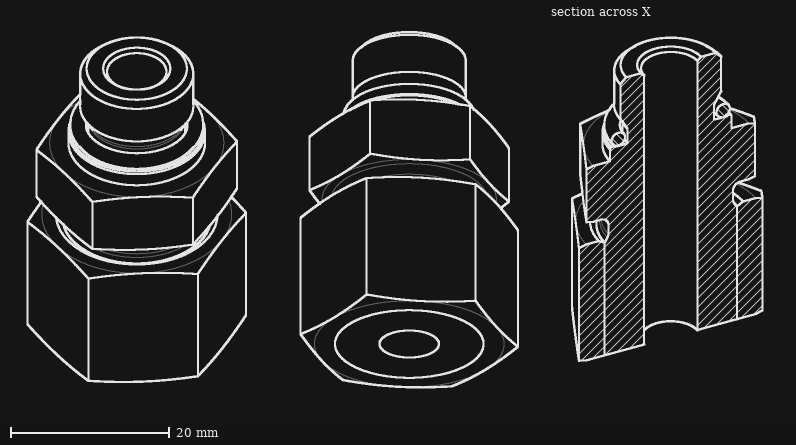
import cadquery as cq
import math


TOTAL_HEIGHT = 41.0
NUT_HEIGHT = 17.5
HEX_BOTTOM = 20.55
HEX_TOP = 29.03
COLLAR_TOP = 31.1
STUD_THREAD_BOTTOM = 34.95

BORE_DIAMETER = 7.5
STUD_NECK_DIAMETER = 12.25
STUD_THREAD_DIAMETER = 14.3
COLLAR_DIAMETER = 17.25
SEAT_DIAMETER = 15.9
SHANK_NECK_DIAMETER = 17.7
SHANK_THREAD_DIAMETER = 18.78
NUT_COUNTERSINK_DIAMETER = 20.4

BODY_ACROSS_FLATS = 22.0
NUT_ACROSS_FLATS = 24.0
HEX_TURN = 7.5
HEX_CHAMFER_ANGLE = 15.0

RUNOUT_ANGLE = 30.0
RELIEF_RADIUS = 1.0
SHANK_RUNOUT_TOP = 18.15
STUD_CHAMFER = 0.8
BORE_CHAMFER = 0.5
COLLAR_CHAMFER_WIDTH = 0.15
COLLAR_CHAMFER_HEIGHT = 0.3
COUNTERSINK_ANGLE = 30.0

O_RING_OUTER_DIAMETER = 16.8
O_RING_SECTION = 1.95
O_RING_HEIGHT = 32.0
SEAT_FLOOR = O_RING_HEIGHT - O_RING_SECTION / 2


def revolve_profile(profile):
    """Turn a closed (radius, height) profile around the Z axis."""
    return profile.close().revolve(360, (0, 0, 0), (0, 1, 0))


def chamfered_hexagon(across_flats, bottom, top):
    """Hexagonal prism whose corners are turned off by a shallow cone at both ends."""
    corner_radius = across_flats / math.sqrt(3)
    face_radius = across_flats / 2
    drop = (corner_radius - face_radius) * math.tan(math.radians(HEX_CHAMFER_ANGLE))
    prism = (
        cq.Workplane("XY", origin=(0, 0, bottom))
        .polygon(6, 2 * corner_radius)
        .extrude(top - bottom)
        .rotate((0, 0, 0), (0, 0, 1), 90 + HEX_TURN)
    )
    turned_blank = revolve_profile(
        cq.Workplane("XZ")
        .moveTo(0, bottom)
        .lineTo(face_radius, bottom)
        .lineTo(corner_radius, bottom + drop)
        .lineTo(corner_radius, top - drop)
        .lineTo(face_radius, top)
        .lineTo(0, top)
    )
    return prism.intersect(turned_blank)


def relief_point(neck_radius, neck_end, direction, angle):
    """Point on a relief fillet after it has turned by `angle` degrees away from the neck."""
    turn = math.radians(angle)
    return (
        neck_radius + RELIEF_RADIUS * (1 - math.cos(turn)),
        neck_end + direction * RELIEF_RADIUS * math.sin(turn),
    )


def make_stud():
    """Collar with O-ring seat, undercut neck and threaded stud above the hexagon."""
    thread_radius = STUD_THREAD_DIAMETER / 2
    neck_radius = STUD_NECK_DIAMETER / 2
    collar_radius = COLLAR_DIAMETER / 2
    cone_end_radius = relief_point(neck_radius, 0, 1, RUNOUT_ANGLE)[0]
    cone_height = (thread_radius - cone_end_radius) / math.tan(math.radians(RUNOUT_ANGLE))
    neck_top = STUD_THREAD_BOTTOM - cone_height - RELIEF_RADIUS * math.sin(math.radians(RUNOUT_ANGLE))
    return revolve_profile(
        cq.Workplane("XZ")
        .moveTo(0, HEX_TOP)
        .lineTo(collar_radius, HEX_TOP)
        .lineTo(collar_radius, COLLAR_TOP - COLLAR_CHAMFER_HEIGHT)
        .lineTo(collar_radius - COLLAR_CHAMFER_WIDTH, COLLAR_TOP)
        .lineTo(SEAT_DIAMETER / 2, COLLAR_TOP)
        .lineTo(SEAT_DIAMETER / 2, SEAT_FLOOR)
        .lineTo(neck_radius, SEAT_FLOOR)
        .lineTo(neck_radius, neck_top)
        .threePointArc(
            relief_point(neck_radius, neck_top, 1, RUNOUT_ANGLE / 2),
            relief_point(neck_radius, neck_top, 1, RUNOUT_ANGLE),
        )
        .lineTo(thread_radius, STUD_THREAD_BOTTOM)
        .lineTo(thread_radius, TOTAL_HEIGHT - STUD_CHAMFER)
        .lineTo(thread_radius - STUD_CHAMFER, TOTAL_HEIGHT)
        .lineTo(0, TOTAL_HEIGHT)
    )


def make_shank():
    """Threaded shank with an undercut neck, from the nut's lower face up to the hexagon."""
    thread_radius = SHANK_THREAD_DIAMETER / 2
    neck_radius = SHANK_NECK_DIAMETER / 2
    neck_top = HEX_BOTTOM - RELIEF_RADIUS
    cone_start = relief_point(neck_radius, SHANK_RUNOUT_TOP, -1, RUNOUT_ANGLE)
    cone_height = (thread_radius - cone_start[0]) / math.tan(math.radians(RUNOUT_ANGLE))
    return revolve_profile(
        cq.Workplane("XZ")
        .moveTo(0, 0)
        .lineTo(thread_radius, 0)
        .lineTo(thread_radius, cone_start[1] - cone_height)
        .lineTo(*cone_start)
        .threePointArc(
            relief_point(neck_radius, SHANK_RUNOUT_TOP, -1, RUNOUT_ANGLE / 2),
            (neck_radius, SHANK_RUNOUT_TOP),
        )
        .lineTo(neck_radius, neck_top)
        .threePointArc(
            relief_point(neck_radius, neck_top, 1, 45),
            relief_point(neck_radius, neck_top, 1, 90),
        )
        .lineTo(0, HEX_BOTTOM)
    )


def make_bore():
    """Through bore with a countersink at the stud end."""
    radius = BORE_DIAMETER / 2
    return revolve_profile(
        cq.Workplane("XZ")
        .moveTo(0, 0)
        .lineTo(radius, 0)
        .lineTo(radius, TOTAL_HEIGHT - BORE_CHAMFER)
        .lineTo(radius + BORE_CHAMFER, TOTAL_HEIGHT)
        .lineTo(0, TOTAL_HEIGHT)
    )


def make_fitting_body():
    hexagon = chamfered_hexagon(BODY_ACROSS_FLATS, HEX_BOTTOM, HEX_TOP)
    return hexagon.union(make_stud()).union(make_shank()).cut(make_bore())


def make_o_ring():
    section_radius = O_RING_SECTION / 2
    centre_radius = O_RING_OUTER_DIAMETER / 2 - section_radius
    return (
        cq.Workplane("XZ")
        .center(centre_radius, O_RING_HEIGHT)
        .circle(section_radius)
        .revolve(360, (-centre_radius, 0, 0), (-centre_radius, 1, 0))
    )


def make_nut():
    """Hexagon nut bored straight through to fit the shank thread, countersunk at the top."""
    thread_radius = SHANK_THREAD_DIAMETER / 2
    countersink_radius = NUT_COUNTERSINK_DIAMETER / 2
    countersink_depth = (countersink_radius - thread_radius) * math.tan(math.radians(COUNTERSINK_ANGLE))
    thread_hole = revolve_profile(
        cq.Workplane("XZ")
        .moveTo(0, 0)
        .lineTo(thread_radius, 0)
        .lineTo(thread_radius, NUT_HEIGHT - countersink_depth)
        .lineTo(countersink_radius, NUT_HEIGHT)
        .lineTo(0, NUT_HEIGHT)
    )
    return chamfered_hexagon(NUT_ACROSS_FLATS, 0, NUT_HEIGHT).cut(thread_hole)


fitting_body = make_fitting_body()
o_ring = make_o_ring()
nut = make_nut()

result = cq.Compound.makeCompound(
    [*fitting_body.solids().vals(), *o_ring.solids().vals(), *nut.solids().vals()]
)